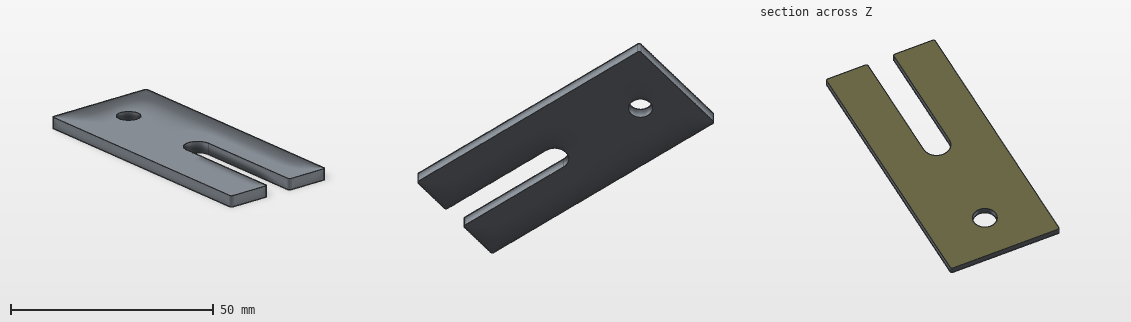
import cadquery as cq

length = 70.0
width = 30.0
thickness = 3.0
corner_radius = 0.55

hole_diameter = 6.0
hole_from_left = 11.5

slot_width = 7.0
slot_depth = 35.0

hole_x = hole_from_left - length / 2
slot_radius = slot_width / 2
slot_arc_x = length / 2 - slot_depth + slot_radius


def make_slot_cutter():
    """Slot centred on the X axis, running out through the +X end."""
    straight_length = length / 2 - slot_arc_x
    straight = (
        cq.Workplane("XY")
        .center(slot_arc_x + straight_length / 2, 0)
        .rect(straight_length, slot_width)
        .extrude(thickness)
    )
    round_end = cq.Workplane("XY").center(slot_arc_x, 0).circle(slot_radius).extrude(thickness)
    return straight.union(round_end)


plate = cq.Workplane("XY").rect(length, width).extrude(thickness)
slotted_plate = plate.cut(make_slot_cutter())

rounded_plate = (
    slotted_plate.edges("|Z and (<X or >X)")
    .fillet(corner_radius)
)

hole = cq.Workplane("XY").center(hole_x, 0).circle(hole_diameter / 2).extrude(thickness)
result = rounded_plate.cut(hole)